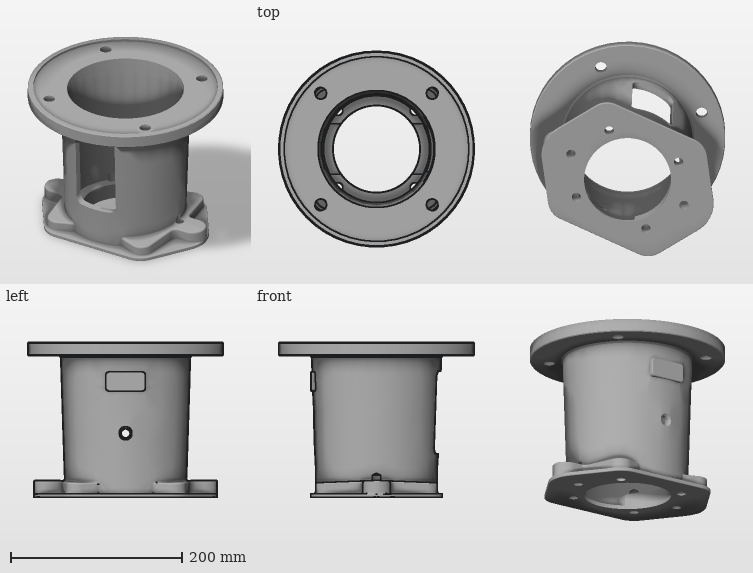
import cadquery as cq
import math

TOTAL_HEIGHT = 181.04

FLANGE_RADIUS = 114.3
FLANGE_THICKNESS = 15.24
FLANGE_EDGE_CHAMFER = 1.0
REGISTER_RADIUS = 107.95
REGISTER_DEPTH = 2.8
MOTOR_BOLT_CIRCLE_RADIUS = 92.075
MOTOR_BOLT_RADIUS = 6.75
MOTOR_BOLT_COUNT = 4
MOTOR_BOLT_START_ANGLE = 45
NECK_CHAMFER = 2.0

BARREL_TOP_RADIUS = 75.9
BARREL_BASE_RADIUS = 70.6
BORE_TOP_RADIUS = 68.5
BORE_BASE_RADIUS = 61.9

PLATE_THICKNESS = 4.5
PLATE_HALF_WIDTH = 76.9
PLATE_HALF_LENGTH = 107.1
PLATE_END_RADIUS = 38.0
PLATE_SIDE_ANGLE = 33.0
PLATE_CORNER_RADIUS = 24.7
PLATE_EDGE_FILLET = 1.0
PILOT_RADIUS = 50.8
PAD_HEIGHT = 19.9
PAD_TOP_SLOPE = 2.3
PAD_MIDDLE_ANGLE = 59.0
PAD_INNER_Y = 29.3
PAD_SIDE_X = 62.6
PAD_CORNER_X = 76.3
PAD_CORNER_Y = 67.2
PAD_CORNER_RADIUS = 14.0
PAD_EDGE_FILLET = 2.0
FOOT_FILLET = 1.8
EAR_RADIUS = 15.8
EAR_CENTER_Y = PLATE_HALF_LENGTH - EAR_RADIUS
EAR_ROOT_Y = 75.5
EAR_ROOT_FILLET = 7.0

PUMP_BOLT_RADIUS = 5.4
PUMP_BOLT_DEPTH = 25.6
DRILL_POINT_ANGLE = 118.0
TWO_BOLT_Y = 73.0
FOUR_BOLT_OFFSET = 44.9

WINDOW_BOTTOM = 50.8
WINDOW_TOP = 147.6
WINDOW_HALF_WIDTH = 26.5
WINDOW_CORNER_RADIUS = 8.0
SIDE_HOLE_Z = 74.8
SIDE_HOLE_RADIUS = 5.3
SIDE_HOLE_MOUTH_RADIUS = 7.8
NAMEPLATE_FACE_X = 76.8
NAMEPLATE_LENGTH = 46.0
NAMEPLATE_BOTTOM = 124.3
NAMEPLATE_TOP = 146.6
NAMEPLATE_CORNER_RADIUS = 3.5
NAMEPLATE_EDGE_FILLET = 1.2

SELECT_MARGIN = 0.1
PAD_TOP_DROP_LIMIT = 5.0
FLANGE_UNDERSIDE = TOTAL_HEIGHT - FLANGE_THICKNESS
REGISTER_FLOOR = TOTAL_HEIGHT - REGISTER_DEPTH


def edges_between(low_z, high_z):
    """Selector for edges whose centers lie between two heights."""
    reach = FLANGE_RADIUS
    return cq.selectors.BoxSelector((-reach, -reach, low_z), (reach, reach, high_z))


def cone(base_radius, top_radius, base_z, top_z):
    """Solid of revolution about Z with straight sides."""
    outline = [(0, base_z), (base_radius, base_z), (top_radius, top_z), (0, top_z)]
    return cq.Workplane("YZ").polyline(outline).close().revolve(360, (0, 0), (0, 1))


def barrel_radius(z):
    """Outside radius of the barrel at height z."""
    return BARREL_BASE_RADIUS + (BARREL_TOP_RADIUS - BARREL_BASE_RADIUS) * z / FLANGE_UNDERSIDE


def flange_and_barrel():
    """Tapered barrel carrying the round motor flange, in one revolve."""
    chamfer = FLANGE_EDGE_CHAMFER
    neck_z = FLANGE_UNDERSIDE - NECK_CHAMFER
    outline = (
        cq.Workplane("YZ")
        .moveTo(0, 0)
        .lineTo(BARREL_BASE_RADIUS, 0)
        .lineTo(barrel_radius(neck_z), neck_z)
        .lineTo(BARREL_TOP_RADIUS + NECK_CHAMFER, FLANGE_UNDERSIDE)
        .lineTo(FLANGE_RADIUS - chamfer, FLANGE_UNDERSIDE)
        .lineTo(FLANGE_RADIUS, FLANGE_UNDERSIDE + chamfer)
        .lineTo(FLANGE_RADIUS, TOTAL_HEIGHT - chamfer)
        .lineTo(FLANGE_RADIUS - chamfer, TOTAL_HEIGHT)
        .lineTo(0, TOTAL_HEIGHT)
        .close()
    )
    return outline.revolve(360, (0, 0), (0, 1))


def base_plate():
    """Thin six-sided plate with rounded ends on the Y axis."""
    slope = math.radians(PLATE_SIDE_ANGLE)
    end_center = PLATE_HALF_LENGTH - PLATE_END_RADIUS
    tangent_x = PLATE_END_RADIUS * math.sin(slope)
    tangent_y = end_center + PLATE_END_RADIUS * math.cos(slope)
    corner_y = tangent_y - (PLATE_HALF_WIDTH - tangent_x) * math.tan(slope)
    plate = (
        cq.Workplane("XY")
        .moveTo(-PLATE_HALF_WIDTH, -corner_y)
        .lineTo(-tangent_x, -tangent_y)
        .threePointArc((0, -PLATE_HALF_LENGTH), (tangent_x, -tangent_y))
        .lineTo(PLATE_HALF_WIDTH, -corner_y)
        .lineTo(PLATE_HALF_WIDTH, corner_y)
        .lineTo(tangent_x, tangent_y)
        .threePointArc((0, PLATE_HALF_LENGTH), (-tangent_x, tangent_y))
        .lineTo(-PLATE_HALF_WIDTH, corner_y)
        .close()
        .extrude(PLATE_THICKNESS)
    )
    for x in (-PLATE_HALF_WIDTH, PLATE_HALF_WIDTH):
        for y in (-corner_y, corner_y):
            corner = cq.selectors.NearestToPointSelector((x, y, PLATE_THICKNESS / 2))
            plate = plate.edges(corner).fillet(PLATE_CORNER_RADIUS)
    return plate.faces(">Z or <Z").edges().fillet(PLATE_EDGE_FILLET)


def pad_roof():
    """Prism whose two top planes fall away from a ridge over the Y axis."""
    eave = PAD_HEIGHT - FLANGE_RADIUS * math.tan(math.radians(PAD_TOP_SLOPE))
    outline = [
        (-FLANGE_RADIUS, 0),
        (FLANGE_RADIUS, 0),
        (FLANGE_RADIUS, eave),
        (0, PAD_HEIGHT),
        (-FLANGE_RADIUS, eave),
    ]
    return cq.Workplane("XZ").polyline(outline).close().extrude(FLANGE_RADIUS, both=True)


def pad(side):
    """Raised pad on the side=-1 or side=+1 end in Y: two bolt corners and an ear."""

    def at(x, y):
        return (x, side * y)

    body = (
        cq.Workplane("XY")
        .polyline([
            at(-PAD_SIDE_X, PAD_INNER_Y),
            at(-PAD_CORNER_X, PAD_CORNER_Y),
            at(-EAR_RADIUS, EAR_ROOT_Y),
            at(-EAR_RADIUS, EAR_CENTER_Y),
        ])
        .threePointArc(at(0, PLATE_HALF_LENGTH), at(EAR_RADIUS, EAR_CENTER_Y))
        .lineTo(*at(EAR_RADIUS, EAR_ROOT_Y))
        .lineTo(*at(PAD_CORNER_X, PAD_CORNER_Y))
        .lineTo(*at(PAD_SIDE_X, PAD_INNER_Y))
        .close()
        .extrude(PAD_HEIGHT)
    )
    for x, y, radius in (
        (PAD_CORNER_X, PAD_CORNER_Y, PAD_CORNER_RADIUS),
        (EAR_RADIUS, EAR_ROOT_Y, EAR_ROOT_FILLET),
    ):
        for x_side in (-1, 1):
            edge = cq.selectors.NearestToPointSelector((x_side * x, side * y, PAD_HEIGHT / 2))
            body = body.edges("|Z").edges(edge).fillet(radius)
    body = body.intersect(pad_roof())
    upper = edges_between(PAD_HEIGHT - PAD_TOP_DROP_LIMIT, PAD_HEIGHT + SELECT_MARGIN)
    ridge = cq.selectors.BoxSelector(
        (-SELECT_MARGIN, -EAR_CENTER_Y, PAD_HEIGHT - SELECT_MARGIN),
        (SELECT_MARGIN, EAR_CENTER_Y, PAD_HEIGHT + SELECT_MARGIN),
    )
    return body.edges(upper - ridge).fillet(PAD_EDGE_FILLET)


def nameplate():
    """Flat raised plate on the -X side of the barrel."""
    height = NAMEPLATE_TOP - NAMEPLATE_BOTTOM
    depth = NAMEPLATE_FACE_X - BORE_TOP_RADIUS
    plate = (
        cq.Workplane("XY")
        .box(depth, NAMEPLATE_LENGTH, height, centered=(False, True, False))
        .translate((-NAMEPLATE_FACE_X, 0, NAMEPLATE_BOTTOM))
    )
    plate = plate.edges("|X").fillet(NAMEPLATE_CORNER_RADIUS)
    return plate.faces("<X").edges().fillet(NAMEPLATE_EDGE_FILLET)


def bore():
    """Tapered inside of the barrel, stopping on the plate, and the top register."""
    taper = cone(BORE_BASE_RADIUS, BORE_TOP_RADIUS, PLATE_THICKNESS, TOTAL_HEIGHT)
    register = cq.Workplane("XY").circle(REGISTER_RADIUS).extrude(REGISTER_DEPTH)
    return taper.union(register.translate((0, 0, REGISTER_FLOOR)))


def motor_bolt_holes():
    """Clearance holes through the motor flange."""
    return (
        cq.Workplane("XY", origin=(0, 0, FLANGE_UNDERSIDE))
        .polarArray(MOTOR_BOLT_CIRCLE_RADIUS, MOTOR_BOLT_START_ANGLE, 360, MOTOR_BOLT_COUNT)
        .circle(MOTOR_BOLT_RADIUS)
        .extrude(FLANGE_THICKNESS)
    )


def pump_bolt_holes():
    """Blind drilled holes from the base: two on the Y axis and four in a square."""
    point_height = PUMP_BOLT_RADIUS / math.tan(math.radians(DRILL_POINT_ANGLE / 2))
    drill = cone(PUMP_BOLT_RADIUS, PUMP_BOLT_RADIUS, 0, PUMP_BOLT_DEPTH)
    drill = drill.union(
        cq.Workplane("XZ")
        .polyline([
            (0, PUMP_BOLT_DEPTH),
            (PUMP_BOLT_RADIUS, PUMP_BOLT_DEPTH),
            (0, PUMP_BOLT_DEPTH + point_height),
        ])
        .close()
        .revolve(360, (0, 0), (0, 1))
    )
    centers = [(0, -TWO_BOLT_Y), (0, TWO_BOLT_Y)]
    for x_side in (-1, 1):
        for y_side in (-1, 1):
            centers.append((x_side * FOUR_BOLT_OFFSET, y_side * FOUR_BOLT_OFFSET))
    holes = cq.Workplane("XY")
    for x, y in centers:
        holes = holes.add(drill.translate((x, y, 0)))
    return holes.combine()


def window():
    """Rounded rectangular opening through the +X wall."""
    return (
        cq.Workplane("XY")
        .box(FLANGE_RADIUS, 2 * WINDOW_HALF_WIDTH, WINDOW_TOP - WINDOW_BOTTOM, centered=(False, True, False))
        .edges("|X")
        .fillet(WINDOW_CORNER_RADIUS)
        .translate((0, 0, WINDOW_BOTTOM))
    )


def side_hole():
    """Round hole through the -X wall with a 45 degree countersunk mouth."""
    wall_x = barrel_radius(SIDE_HOLE_Z)
    sink = SIDE_HOLE_MOUTH_RADIUS - SIDE_HOLE_RADIUS
    outline = [
        (-FLANGE_RADIUS, 0),
        (-FLANGE_RADIUS, SIDE_HOLE_MOUTH_RADIUS),
        (-wall_x, SIDE_HOLE_MOUTH_RADIUS),
        (-wall_x + sink, SIDE_HOLE_RADIUS),
        (0, SIDE_HOLE_RADIUS),
        (0, 0),
    ]
    hole = cq.Workplane("XZ").polyline(outline).close().revolve(360, (0, 0), (1, 0))
    return hole.translate((0, 0, SIDE_HOLE_Z))


def blend_feet(body):
    """Round the inside corners where the barrel and pads rise from the plate and each other."""
    plate_top = edges_between(PLATE_THICKNESS - SELECT_MARGIN, PLATE_THICKNESS + SELECT_MARGIN)
    feet = body.edges(plate_top)
    diagonal = math.radians(PAD_MIDDLE_ANGLE)
    x = barrel_radius(PAD_HEIGHT) * math.cos(diagonal)
    y = barrel_radius(PAD_HEIGHT) * math.sin(diagonal)
    for corner in ((x, y), (x, -y), (-x, y), (-x, -y)):
        nearest = cq.selectors.NearestToPointSelector((*corner, PAD_HEIGHT))
        feet = feet.add(body.edges(nearest))
    return feet.fillet(FOOT_FILLET)


pads = pad(-1).union(pad(1))
casting = blend_feet(flange_and_barrel().union(base_plate()).union(pads))
body = casting.union(nameplate()).cut(bore()).union(pads)
pilot = cq.Workplane("XY").circle(PILOT_RADIUS).extrude(PAD_HEIGHT)
body = body.cut(pilot).cut(motor_bolt_holes()).cut(pump_bolt_holes())
result = body.cut(window()).cut(side_hole())